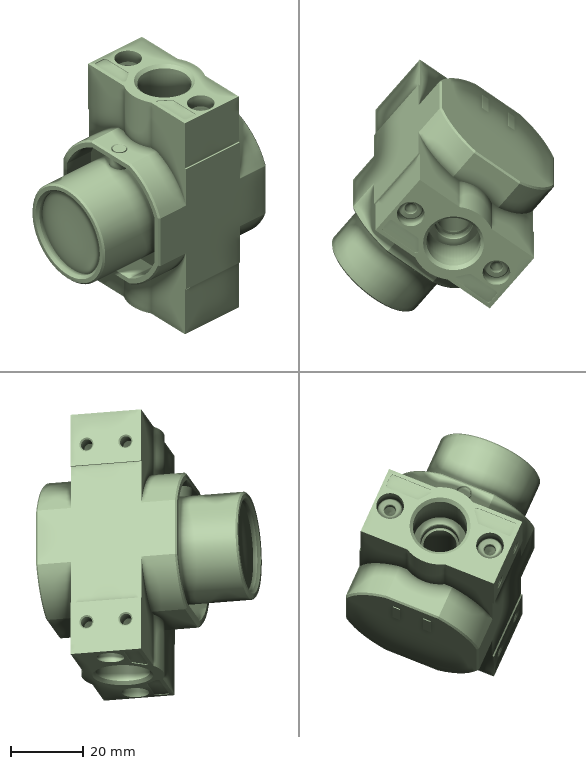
import cadquery as cq
import math


BODY = 40.0
HALF = BODY / 2
BAND_DEPTH = 20.0
COLLAR_RADIUS = 21.5
EDGE_CHAMFER = 0.5
WALL = 1.95
RECESS_DEPTH = 9.0
FLOOR_Y = RECESS_DEPTH - HALF
BODY_BORE = 9.2

BAR_WIDTH = 2.2
BAR_LENGTH = 7.7
BAR_HEIGHT = 0.2
BAR_X = 4.55
BAR_Z = 11.55

TOP_Z = 35.0
BLOCK_HEIGHT = TOP_Z - HALF
BLOCK_SHIFT = -0.4
BULGE_RADIUS = 11.5
PORT_DIAMETER = 15.0
PORT_MOUTH = 16.8
PORT_DEPTH = 12.6
PORT_OUTLET = 10.6
OUTLET_MOUTH = 11.0

SIDE_HOLE = 3.2
SIDE_MOUTH = 4.0
SIDE_HOLE_DEPTH = 4.2
SIDE_HOLE_Y = 5.5
SIDE_HOLE_Z = 26.0
DRILL_POINT_ANGLE = 118

LABEL_OUTER_X = 18.8
LABEL_INNER_X = 5.8
LABEL_SLANT = 3.2
LABEL_FRONT_Y = -8.9
LABEL_BACK_Y = -4.7
LABEL_FILLET = 0.7
LABEL_DEPTH = 0.2

SCREW_X = 15.0
HEAD_DIAMETER = 7.0
HEAD_HEIGHT = 4.0
HEAD_CHAMFER = 0.35
HEAD_SINK = 3.2
COUNTERBORE = 7.6
SHANK_DIAMETER = 4.0
SHANK_GRIP = 6.0
SOCKET_DIAMETER = 3.2
SOCKET_MOUTH = 3.6
SOCKET_DEPTH = 1.4

KNOB_DIAMETER = 29.95
KNOB_END_Y = -36.0
KNOB_CHAMFER = 0.5
DISH_MOUTH = 26.6
DISH_FLOOR = 25.0
DISH_DEPTH = 1.95

PIN_Y = -16.7
PIN_NECK = 3.8
PIN_HOLE = 4.0
PIN_MOUTH = 4.7
PIN_DIAMETER = 5.75
PIN_END_Z = 14.0

HEAD_TOP_Z = TOP_Z - HEAD_SINK
HEAD_SEAT_Z = HEAD_TOP_Z - HEAD_HEIGHT
SHANK_END_Z = HALF - SHANK_GRIP


def cylinder(diameter, z_low, z_high, x=0, y=0):
    """Upright cylinder between two heights."""
    return cq.Workplane("XY", origin=(x, y, z_low)).circle(diameter / 2).extrude(z_high - z_low)


def cone(low_diameter, high_diameter, z_low, z_high, x=0, y=0):
    """Upright truncated cone between two heights."""
    solid = cq.Solid.makeCone(
        low_diameter / 2, high_diameter / 2, z_high - z_low, pnt=cq.Vector(x, y, z_low)
    )
    return cq.Workplane(solid)


def drill_point(diameter):
    """Length of the conical end of a drilled hole."""
    return diameter / 2 / math.tan(math.radians(DRILL_POINT_ANGLE / 2))


def flip(body):
    """The same body at the lower end."""
    return body.mirror("XY")


def flatted_round(half_side, radius, y_front, y_back):
    """Prism along Y: a round bar with four flats."""
    square = cq.Workplane("XZ", origin=(0, y_back, 0)).rect(2 * half_side, 2 * half_side)
    round_bar = cq.Workplane("XZ", origin=(0, y_back, 0)).circle(radius)
    length = y_back - y_front
    return square.extrude(length).intersect(round_bar.extrude(length))


def make_screw(x):
    """Cap screw at the upper end."""
    head = cylinder(HEAD_DIAMETER, HEAD_SEAT_Z, HEAD_TOP_Z, x).faces(">Z").chamfer(HEAD_CHAMFER)
    shank = cylinder(SHANK_DIAMETER, SHANK_END_Z, HEAD_SEAT_Z, x)
    socket_floor_z = HEAD_TOP_Z - SOCKET_DEPTH
    mouth_depth = (SOCKET_MOUTH - SOCKET_DIAMETER) / 2
    screw = head.union(shank)
    screw = screw.cut(cylinder(SOCKET_DIAMETER, socket_floor_z, HEAD_TOP_Z, x))
    screw = screw.cut(cone(SOCKET_DIAMETER, SOCKET_MOUTH, HEAD_TOP_Z - mouth_depth, HEAD_TOP_Z, x))
    point_z = socket_floor_z - drill_point(SOCKET_DIAMETER)
    return screw.cut(cone(0, SOCKET_DIAMETER, point_z, socket_floor_z, x))


def make_pin():
    """Stepped pin: a neck in the housing wall and a thicker end that enters the knob."""
    ceiling_z = HALF - WALL
    neck = cylinder(PIN_NECK, ceiling_z, HALF, y=PIN_Y)
    return neck.union(cylinder(PIN_DIAMETER, PIN_END_Z, ceiling_z, y=PIN_Y))


def make_knob():
    """Round knob standing on the recess floor, dished at its outer end."""
    blank = cq.Workplane("XZ", origin=(0, FLOOR_Y, 0)).circle(KNOB_DIAMETER / 2)
    knob = blank.extrude(FLOOR_Y - KNOB_END_Y).faces("<Y").chamfer(KNOB_CHAMFER)
    dish_floor_y = KNOB_END_Y + DISH_DEPTH
    dish = cq.Workplane("XZ", origin=(0, dish_floor_y, 0)).circle(DISH_FLOOR / 2).extrude(DISH_DEPTH)
    mouth_depth = (DISH_MOUTH - DISH_FLOOR) / 2
    mouth = cq.Solid.makeCone(
        DISH_MOUTH / 2, DISH_FLOOR / 2, mouth_depth, cq.Vector(0, KNOB_END_Y, 0), cq.Vector(0, 1, 0)
    )
    pin_hole = cylinder(PIN_DIAMETER, PIN_END_Z, HALF, y=PIN_Y)
    return knob.cut(dish).cut(cq.Workplane(mouth)).cut(pin_hole)


def make_housing():
    """Square band with flatted-round collars, a front recess and the flow bore."""
    collars = flatted_round(HALF, COLLAR_RADIUS, -HALF, HALF)
    collars = collars.faces("<Y or >Y").chamfer(EDGE_CHAMFER)
    housing = collars.union(cq.Workplane("XY").box(BODY, BAND_DEPTH, BODY))
    housing = housing.cut(flatted_round(HALF - WALL, COLLAR_RADIUS - WALL, -HALF, FLOOR_Y))
    housing = housing.cut(cylinder(BODY_BORE, -HALF, HALF))

    mouth_depth = (PIN_MOUTH - PIN_HOLE) / 2
    housing = housing.cut(cylinder(PIN_HOLE, HALF - WALL, HALF, y=PIN_Y))
    housing = housing.cut(cone(PIN_HOLE, PIN_MOUTH, HALF - mouth_depth, HALF, y=PIN_Y))

    for x in (-SCREW_X, SCREW_X):
        screw_hole = cylinder(SHANK_DIAMETER, SHANK_END_Z, HALF, x)
        housing = housing.cut(screw_hole).cut(flip(screw_hole))

    for x in (-BAR_X, BAR_X):
        bar = cq.Workplane("XY").box(BAR_WIDTH, BAR_HEIGHT, BAR_LENGTH)
        housing = housing.union(bar.translate((x, HALF + BAR_HEIGHT / 2, BAR_Z)))
    return housing


def make_label(side):
    """Cutter for the shallow label recess on one side of the port: +1 or -1 along X."""
    outline = [
        (side * LABEL_OUTER_X, LABEL_FRONT_Y),
        (side * LABEL_INNER_X, LABEL_FRONT_Y),
        (side * (LABEL_INNER_X + LABEL_SLANT), LABEL_BACK_Y),
        (side * LABEL_OUTER_X, LABEL_BACK_Y),
    ]
    label = cq.Workplane("XY", origin=(BLOCK_SHIFT, 0, TOP_Z - LABEL_DEPTH)).polyline(outline).close()
    return label.extrude(LABEL_DEPTH).edges("|Z").fillet(LABEL_FILLET)


def make_side_hole(y):
    """Cutter for a drilled, countersunk hole in the -X side of the end block."""
    radius = SIDE_HOLE / 2
    mouth_radius = SIDE_MOUTH / 2
    profile = [
        (0, 0),
        (mouth_radius, 0),
        (radius, mouth_radius - radius),
        (radius, SIDE_HOLE_DEPTH),
        (0, SIDE_HOLE_DEPTH + drill_point(SIDE_HOLE)),
    ]
    cutter = cq.Workplane("XY").polyline(profile).close().revolve(360, (0, 0), (0, 1))
    cutter = cutter.rotate((0, 0, 0), (0, 0, 1), -90)
    return cutter.translate((BLOCK_SHIFT - HALF, y, SIDE_HOLE_Z))


def make_end_block():
    """Upper end block with its port, screw holes, label recesses and side holes."""
    footprint = cq.Workplane("XY", origin=(BLOCK_SHIFT, 0, HALF)).rect(BODY, BAND_DEPTH)
    block = footprint.extrude(BLOCK_HEIGHT)
    block = block.union(cylinder(2 * BULGE_RADIUS, HALF, TOP_Z))

    port_floor_z = TOP_Z - PORT_DEPTH
    port_chamfer = (PORT_MOUTH - PORT_DIAMETER) / 2
    outlet_chamfer = (OUTLET_MOUTH - PORT_OUTLET) / 2
    block = block.cut(cylinder(PORT_DIAMETER, port_floor_z, TOP_Z))
    block = block.cut(cone(PORT_DIAMETER, PORT_MOUTH, TOP_Z - port_chamfer, TOP_Z))
    block = block.cut(cylinder(PORT_OUTLET, HALF, port_floor_z))
    block = block.cut(cone(PORT_OUTLET, OUTLET_MOUTH, port_floor_z - outlet_chamfer, port_floor_z))

    for side in (-1, 1):
        block = block.cut(cylinder(COUNTERBORE, HEAD_SEAT_Z, TOP_Z, side * SCREW_X))
        block = block.cut(cylinder(SHANK_DIAMETER, HALF, HEAD_SEAT_Z, side * SCREW_X))
        block = block.cut(make_label(side))
        block = block.cut(make_side_hole(side * SIDE_HOLE_Y))
    return block


housing = make_housing()
knob = make_knob()
pin = make_pin()
upper_block = make_end_block()
upper_screws = [make_screw(x) for x in (-SCREW_X, SCREW_X)]

bodies = [housing, knob, pin]
for body in [upper_block, *upper_screws]:
    bodies += [body, flip(body)]

result = cq.Compound.makeCompound([body.val() for body in bodies])